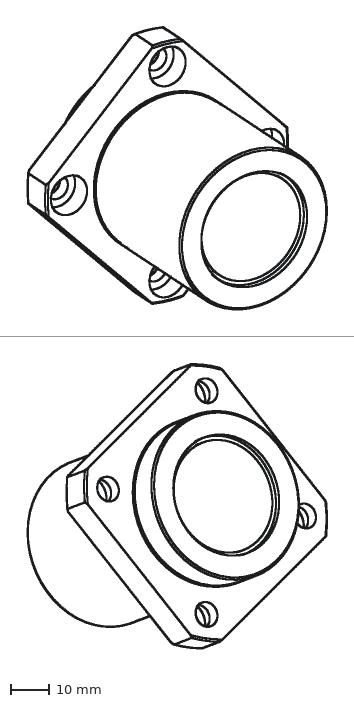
import cadquery as cq

total_length = 64.0
sleeve_diameter = 44.95
bore_diameter = 30.0
end_chamfer = 0.5

recess_diameter = 32.25
recess_depth = 1.6

flange_start = 10.0
flange_thickness = 10.0
flange_end = flange_start + flange_thickness
flange_diameter = 73.95
flange_across_flats = 58.0
flange_chamfer = 0.5

undercut_width = 2.15
undercut_root = 0.7
undercut_depth = 0.2

hole_count = 4
hole_diameter = 6.6
counterbore_diameter = 11.0
counterbore_depth = 6.1
hole_circle_diameter = 60.0


def disc(start, length, diameter):
    """Solid cylinder along X."""
    return cq.Workplane("YZ", origin=(start, 0, 0)).circle(diameter / 2).extrude(length)


def make_sleeve():
    return disc(0, total_length, sleeve_diameter).edges("%CIRCLE").chamfer(end_chamfer)


def make_undercut(face_x, direction):
    """Ring cutter that starts at a flange face and runs away from it."""
    outer = sleeve_diameter / 2
    floor = outer - undercut_depth
    root_x = face_x + direction * undercut_root
    entry_x = face_x + direction * undercut_width
    return (
        cq.Workplane("XY")
        .moveTo(face_x, outer)
        .lineTo(root_x, floor)
        .lineTo(entry_x, outer)
        .close()
        .revolve(360, (0, 0, 0), (1, 0, 0))
    )


def make_flange():
    round_blank = disc(flange_start, flange_thickness, flange_diameter)
    round_blank = round_blank.edges("%CIRCLE").chamfer(flange_chamfer)
    square = (
        cq.Workplane("YZ", origin=(flange_start, 0, 0))
        .transformed(rotate=(0, 0, 45))
        .rect(flange_across_flats, flange_across_flats)
        .extrude(flange_thickness)
    )
    return (
        round_blank.intersect(square)
        .faces(">X")
        .workplane(origin=(flange_end, 0, 0))
        .polarArray(hole_circle_diameter / 2, 0, 360, hole_count)
        .cboreHole(hole_diameter, counterbore_diameter, counterbore_depth)
    )


sleeve = make_sleeve()
sleeve = sleeve.cut(make_undercut(flange_start, -1))
sleeve = sleeve.cut(make_undercut(flange_end, 1))

result = sleeve.union(make_flange())
result = result.cut(disc(0, total_length, bore_diameter))
for recess_start in (0, total_length - recess_depth):
    result = result.cut(disc(recess_start, recess_depth, recess_diameter))